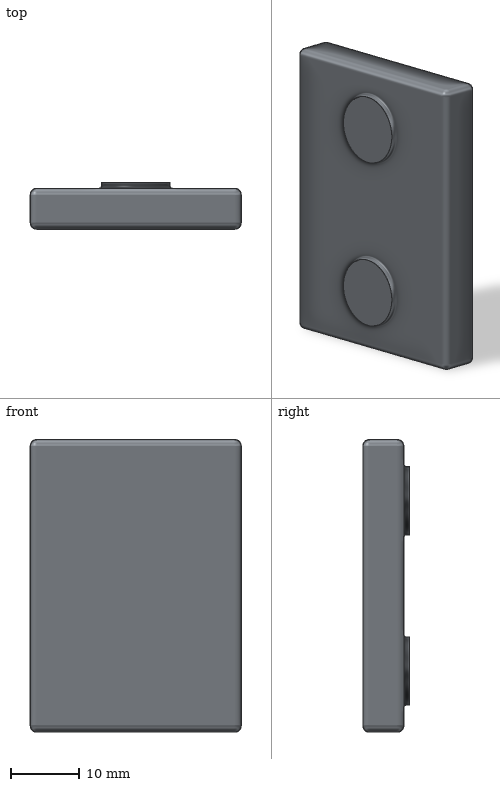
import cadquery as cq

plate_width = 31.0
plate_height = 43.0
plate_thickness = 6.0
edge_radius = 1.0

pad_diameter = 10.0
pad_height = 0.85
pad_root_radius = 0.4
pad_spacing = 25.03


def make_plate():
    """Plate with its -Y face on Y = 0 and every edge rounded."""
    plate = cq.Workplane("XY").box(
        plate_width, plate_thickness, plate_height, centered=(True, False, True)
    )
    return plate.edges().fillet(edge_radius)


def make_pad(center_z):
    """Disc along Y whose root flares into the plate with a concave arc."""
    pad_radius = pad_diameter / 2
    root_y = plate_thickness
    pad_top_y = root_y + pad_height
    buried_y = root_y - edge_radius
    flare_radius = pad_radius + pad_root_radius
    arc_depth = pad_root_radius * (1 - 0.5**0.5)
    profile = (
        cq.Workplane("XY")
        .moveTo(0, buried_y)
        .lineTo(flare_radius, buried_y)
        .lineTo(flare_radius, root_y)
        .threePointArc(
            (pad_radius + arc_depth, root_y + arc_depth),
            (pad_radius, root_y + pad_root_radius),
        )
        .lineTo(pad_radius, pad_top_y)
        .lineTo(0, pad_top_y)
        .close()
    )
    return profile.revolve(360, (0, 0, 0), (0, 1, 0)).translate((0, 0, center_z))


result = make_plate()
for side in (-1, 1):
    result = result.union(make_pad(side * pad_spacing / 2))